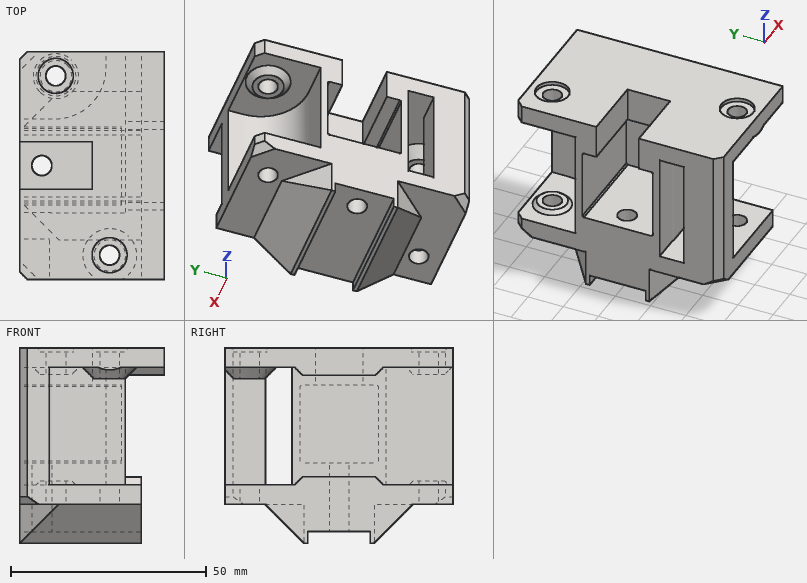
import cadquery as cq

width = 58.35
height = 50.0
top_depth = 37.0
bottom_depth = 31.1
plate = 5.0
base_bottom = 10.0
wall = 7.5
corner_chamfer = 2.0

base_top = base_bottom + plate
ceiling = height - plate
half_width = width / 2

block_depth = 27.0
block_half = 12.1
bay_step = 0.2
bevel_length = 0.6
slot_inner = block_half - bay_step
slot_outer = 18.8
rib_half = 11.3
rib_height = 2.0
bay_side = 11.95
bay_radius = 13.0
bay_center_x = 9.0

pocket_size = 19.95
pocket_bottom = 20.65
pocket_depth = 26.0
pocket_chamfer = 0.4
notch_width = 12.1
notch_depth = 18.5

keel_half = 9.0
channel_half = 7.95
channel_height = 3.0

hole_diameter = 5.0
center_hole_diameter = 5.1
center_hole_x = 5.65
recess_diameter = 9.0
recess_depth = 1.0
screw_y = 22.95
front_screw_x = 23.0
rear_screw_x = 9.2
boss_tip_radius = 4.0
front_boss_height = 2.85
upper_boss_height = 1.75
lower_boss_height = 1.05


def box(x0, x1, y0, y1, z0, z1):
    """Box given by its limits along each axis."""
    return cq.Workplane("XY").box(x1 - x0, y1 - y0, z1 - z0, centered=False).translate((x0, y0, z0))


def cylinder(x, y, z, diameter, length):
    """Upright cylinder whose lower end is at z."""
    return cq.Workplane("XY", origin=(x, y, z)).circle(diameter / 2).extrude(length)


def boss(x, y, z, rise):
    """45 degree conical boss on a plate face; a negative rise hangs it downwards."""
    direction = 1 if rise > 0 else -1
    cone = cq.Solid.makeCone(
        boss_tip_radius + abs(rise), boss_tip_radius, abs(rise),
        cq.Vector(x, y, z), cq.Vector(0, 0, direction),
    )
    return cq.Workplane(obj=cone)


def rib(z, rise, depth):
    """Chamfered strip that stiffens a plate in front of the block."""
    crest = rib_half - abs(rise)
    profile = [(-rib_half, z), (-crest, z + rise), (crest, z + rise), (rib_half, z)]
    return cq.Workplane("YZ", origin=(wall, 0, 0)).polyline(profile).close().extrude(depth - wall)


def envelope():
    """Wall and two plates as a C, with chamfered rear corners."""
    body = box(0, top_depth, -half_width, half_width, base_bottom, height)
    body = body.edges("|Z and <X").chamfer(corner_chamfer)
    body = body.cut(box(bottom_depth, top_depth, -half_width, half_width, base_bottom, ceiling))
    return body.cut(box(block_depth, top_depth, -half_width, half_width, base_top, ceiling))


def corner_bevel(side):
    """Wedge removed where a chamfered rear corner meets the base underside."""
    reach = corner_chamfer * (1 + 2 ** 0.5)
    wires = []
    for z, size in ((base_bottom, reach), (base_bottom + corner_chamfer, corner_chamfer)):
        corners = [(0, half_width), (size, half_width), (0, half_width - size)]
        wires.append(cq.Wire.makePolygon([cq.Vector(x, side * y, z) for x, y in corners], close=True))
    return cq.Workplane(obj=cq.Solid.makeLoft(wires, True))


def slotted_bay():
    """Open bay on the -Y side with a slot through the wall and a stepped inner face."""
    outline = [
        (0, -slot_outer), (0, -slot_inner), (wall, -slot_inner), (wall + bevel_length, -block_half),
        (top_depth, -block_half), (top_depth, -half_width), (wall, -half_width), (wall, -slot_outer),
    ]
    return cq.Workplane("XY", origin=(0, 0, base_top)).polyline(outline).close().extrude(ceiling - base_top)


def round_bay():
    """Bay on the +Y side, open to the rear, ending in a quarter-round wall."""
    arc_y = bay_side + bay_radius
    diagonal = bay_radius * 0.5 ** 0.5
    return (
        cq.Workplane("XY", origin=(0, 0, base_top))
        .moveTo(0, bay_side)
        .lineTo(bay_center_x, bay_side)
        .threePointArc((bay_center_x + diagonal, arc_y - diagonal), (bay_center_x + bay_radius, arc_y))
        .lineTo(bay_center_x + bay_radius, half_width)
        .lineTo(0, half_width)
        .close()
        .extrude(ceiling - base_top)
    )


def pocket():
    """Square pocket from the rear, with the notch that opens it upwards."""
    half = pocket_size / 2
    cavity = box(0, pocket_depth, -half, half, pocket_bottom, pocket_bottom + pocket_size)
    cavity = cavity.edges("|X").chamfer(pocket_chamfer)
    return cavity.union(box(0, notch_depth, -notch_width / 2, notch_width / 2, pocket_bottom + half, height))


def saddle():
    """Channelled keel with sloping flanks; the rear of each flank is swept forward at 45 degrees."""
    flank_half = keel_half + base_bottom
    section = [(-keel_half, 0), (-flank_half, base_bottom), (flank_half, base_bottom), (keel_half, 0)]
    plan = [
        (0, -keel_half), (base_bottom, -flank_half), (bottom_depth, -flank_half),
        (bottom_depth, flank_half), (base_bottom, flank_half), (0, keel_half),
    ]
    block = cq.Workplane("YZ").polyline(section).close().extrude(bottom_depth)
    block = block.intersect(cq.Workplane("XY").polyline(plan).close().extrude(base_bottom))
    return block.cut(box(0, bottom_depth, -channel_half, channel_half, 0, channel_height))


def bosses():
    """Conical bosses around the screw holes, trimmed to the plate outline."""
    cones = boss(front_screw_x, -screw_y, ceiling, -front_boss_height)
    cones = cones.union(boss(rear_screw_x, screw_y, ceiling, -upper_boss_height))
    cones = cones.union(boss(rear_screw_x, screw_y, base_top, lower_boss_height))
    return cones.intersect(box(0, top_depth, -half_width, half_width, base_top, ceiling))


result = envelope()
for side in (-1, 1):
    result = result.cut(corner_bevel(side))
result = result.cut(slotted_bay()).cut(round_bay())
result = result.union(rib(base_top, rib_height, bottom_depth))
result = result.union(rib(ceiling, -rib_height, top_depth))
result = result.cut(pocket()).union(saddle()).union(bosses())

for screw_x, y in ((front_screw_x, -screw_y), (rear_screw_x, screw_y)):
    result = result.cut(cylinder(screw_x, y, 0, hole_diameter, height))
    result = result.cut(cylinder(screw_x, y, height - recess_depth, recess_diameter, recess_depth))
result = result.cut(cylinder(center_hole_x, 0, 0, center_hole_diameter, height))